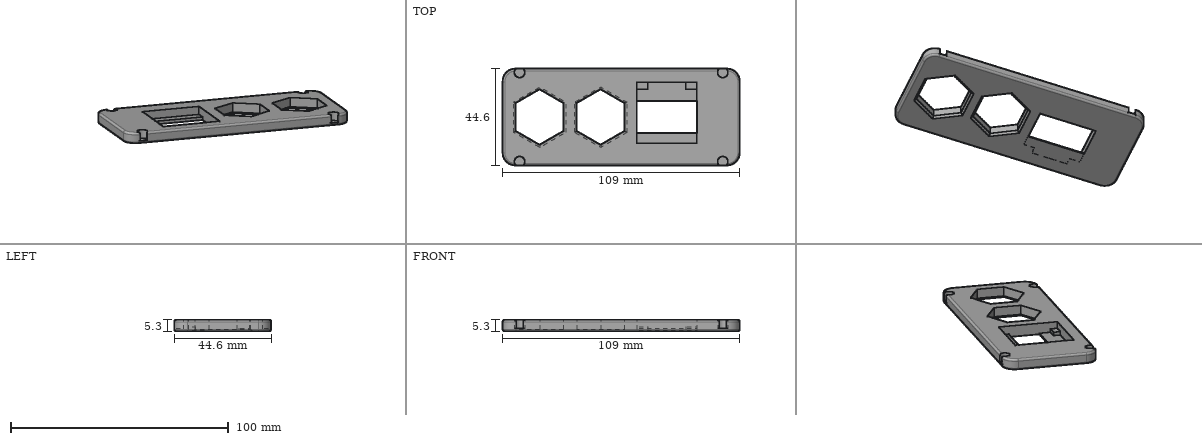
import cadquery as cq
import math

length = 109.0
width = 44.6
thickness = 5.3
corner_radius = 6.0
edge_radius = 1.0

hex_across_flats = 22.0
hex_chamfer = 1.0
hex_centers_x = (-37.5, -9.5)

notch_radius = 2.4
notch_x = 46.7
notch_y = 20.5
notch_floor = 1.3

window_left = 7.2
window_right = 34.8
window_front = -12.1
window_back = 15.9
opening_front = -7.3
opening_back = 7.3
front_ledge_top = 1.5
back_ledge_top = 0.5

tab_length = 5.1
tab_width = 3.3
tab_height = 1.6


def block(x_min, x_max, y_min, y_max, z_min, z_max):
    """Box given by its limits along each axis."""
    size = (x_max - x_min, y_max - y_min, z_max - z_min)
    return cq.Workplane("XY").box(*size, centered=False).translate((x_min, y_min, z_min))


def make_plate():
    """Rounded plate resting on Z = 0, with its top and bottom rims rounded."""
    plate = cq.Workplane("XY").box(length, width, thickness, centered=(True, True, False))
    return plate.edges("|Z").fillet(corner_radius).faces("<Z or >Z").edges().fillet(edge_radius)


def make_hexagons():
    """Hexagons laid out along Y with corners along X, then turned a quarter turn."""
    across_corners = hex_across_flats / math.cos(math.pi / 6)
    return (
        cq.Workplane("XY")
        .pushPoints([(0, x) for x in hex_centers_x])
        .polygon(6, across_corners)
        .extrude(thickness)
        .rotate((0, 0, 0), (0, 0, 1), -90)
    )


def chamfer_bottom_openings(body, size):
    """Chamfer the rim of every opening in the bottom face of the body."""
    openings = body.faces("<Z").val().innerWires()
    rim_edges = [edge for opening in openings for edge in opening.Edges()]
    return body.newObject(rim_edges).chamfer(size)


def make_notches():
    return (
        cq.Workplane("XY", origin=(0, 0, notch_floor))
        .rect(2 * notch_x, 2 * notch_y, forConstruction=True)
        .vertices()
        .circle(notch_radius)
        .extrude(thickness - notch_floor)
    )


def make_window():
    """Material removed by the recess and by the opening through its floor."""
    front = block(window_left, window_right, window_front, opening_front, front_ledge_top, thickness)
    opening = block(window_left, window_right, opening_front, opening_back, 0, thickness)
    back = block(window_left, window_right, opening_back, window_back, back_ledge_top, thickness)
    window = opening.union(front).union(back)
    for tab_left in (window_left, window_right - tab_length):
        tab = block(
            tab_left, tab_left + tab_length,
            window_back - tab_width, window_back,
            back_ledge_top, back_ledge_top + tab_height,
        )
        window = window.cut(tab)
    return window


plate = make_plate().cut(make_hexagons())
plate = chamfer_bottom_openings(plate, hex_chamfer)
result = plate.cut(make_notches()).cut(make_window())